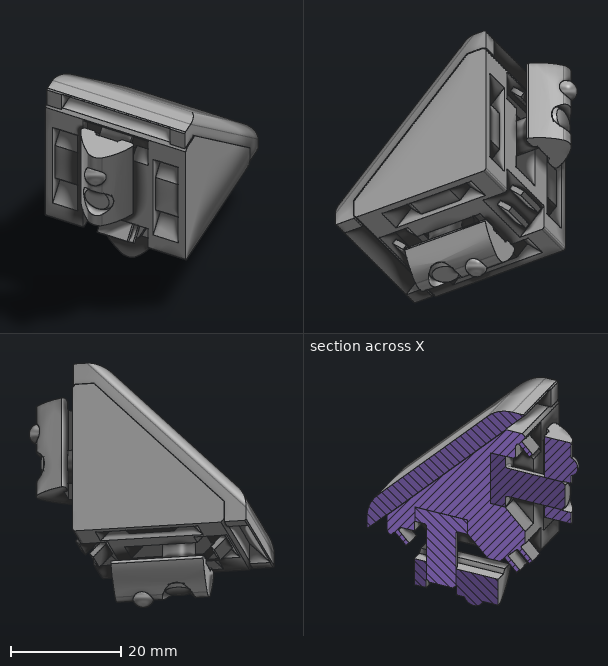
import cadquery as cq
import math


bracket_width = 28.0
leg = 28.0
leg_end = 3.95
back_sum = leg + leg_end
leg_end_chamfer = 0.6
corner_radius = 0.5

side_pocket_width = 5.0
side_pocket_center = 10.0
side_pocket_start = 3.95
side_pocket_length = 18.9
side_notch_depth = 3.2
side_land_depth = 1.02

channel_width = 13.0
recess_start = 21.0
recess_end = 27.05
recess_depth = 2.0
slot_width = 6.55
slot_start = 7.63
slot_end = 22.32
slot_depth = 4.0
corner_notch = 5.1

tab_width = 6.0
tab_thickness = 1.02
tab_rise = 3.3
tab_end_sum = 0.25
outer_tab_rise = 25.6
outer_tab_end_sum = 22.58
tab_root = 2.55

cover_width = 27.55
cover_thickness = 4.0
cover_setback = 0.13
cover_post = 2.95
cover_edge_chamfer = 0.25
cover_end_radius = 7.0
cover_back_sum = 37.5
cover_side_radius = 2.05

screw_diameter = 6.0
screw_height = 17.0
screw_reach = 8.0
screw_chamfer = 0.6
head_diameter = 10.5
head_thickness = 3.0
head_fillet = 0.4

nut_gap = 3.0
nut_length = 17.0
nut_below_screw = 5.45
nut_half_width = 5.2
nut_flat_half_width = 4.6
nut_shoulder = 3.7
nut_nose_start = 8.85
nut_nose = 9.3
nut_nose_half_width = 1.35
nut_flank_bulge = 0.4
nut_groove_depth = 0.75
nut_groove_half_width = 2.7
nut_groove_floor_half_width = 2.1
ball_radius = 2.0
ball_tip = 10.6
ball_offset = 6.55

swap_normal = cq.Vector(0, 1, -1)


def prism(points, width, x_center=0.0):
    """Extrude a (y, z) outline along X, centred on x_center."""
    outline = cq.Workplane("YZ").polyline(points).close()
    return outline.extrude(width / 2, both=True).translate((x_center, 0, 0))


def on_both_legs(feature):
    """The feature of the front leg and its mirror image on the bottom leg."""
    return [feature, feature.mirror(swap_normal)]


def diagonal_point(rise, total):
    """The (y, z) point with z - y = rise and z + y = total."""
    return ((total - rise) / 2, (total + rise) / 2)


def side_pocket(x_center):
    start = side_pocket_start
    end = start + side_pocket_length
    deep = side_notch_depth
    land = side_land_depth
    step = deep - land
    points = [
        (0, start),
        (deep, start + deep),
        (land, start + deep + step),
        (land, end - deep - step),
        (deep, end - deep),
        (0, end),
    ]
    return prism(points, side_pocket_width, x_center)


def outer_recess():
    points = [
        (0, recess_start),
        (recess_depth, recess_start + recess_depth),
        (recess_depth, recess_end - recess_depth),
        (0, recess_end),
    ]
    return prism(points, channel_width)


def screw_slot():
    """The slot for the shank: a floor at 45 degrees, and a flat top that steps up at the recess."""
    recess_floor_end = recess_start + recess_depth
    points = [
        (0, slot_start),
        (slot_depth, slot_start + slot_depth),
        (slot_depth, slot_end),
        (recess_depth, slot_end),
        (recess_depth, recess_floor_end),
        (0, recess_floor_end),
    ]
    return prism(points, slot_width)


def tab(rise, end_sum, root_sum):
    low_rise = rise - tab_thickness * math.sqrt(2)
    points = [
        diagonal_point(rise, end_sum),
        diagonal_point(rise, root_sum),
        diagonal_point(low_rise, root_sum),
        diagonal_point(low_rise, end_sum),
    ]
    return prism(points, tab_width)


def make_bracket():
    end_low = leg - leg_end_chamfer
    outline = [
        (0, 0),
        (0, end_low),
        (leg_end_chamfer, leg),
        (leg_end, leg),
        (leg, leg_end),
        (leg, leg_end_chamfer),
        (end_low, 0),
    ]
    body = prism(outline, bracket_width)
    body = body.edges(cq.selectors.NearestToPointSelector((0, 0, 0))).fillet(corner_radius)
    body = body.cut(prism([(0, 0), (0, corner_notch), (corner_notch, 0)], channel_width))

    cutters = [outer_recess(), screw_slot()]
    for x_center in (-side_pocket_center, side_pocket_center):
        cutters.append(side_pocket(x_center))
    for cutter in cutters:
        for copy in on_both_legs(cutter):
            body = body.cut(copy)

    corner_tab = tab(tab_rise, tab_end_sum, corner_notch + tab_root)
    outer_tab = tab(outer_tab_rise, outer_tab_end_sum, recess_end + tab_root)
    for one_tab in (corner_tab, outer_tab):
        for copy in on_both_legs(one_tab):
            body = body.union(copy)
    return body


def make_cover():
    near = cover_setback
    far = leg + cover_thickness
    bend = cover_back_sum - far
    chamfer = cover_edge_chamfer
    outline = [
        (near, leg),
        (near, far - chamfer),
        (near + chamfer, far),
        (bend, far),
        (far, bend),
        (far, near + chamfer),
        (far - chamfer, near),
        (leg, near),
        (leg, leg_end),
        (leg_end, leg),
    ]
    body = prism(outline, cover_width)
    for y, z in ((bend, far), (far, bend)):
        bend_edge = cq.selectors.NearestToPointSelector((0, y, z))
        body = body.edges(bend_edge).fillet(cover_end_radius)

    middle = cover_back_sum / 2
    slanted = cq.Plane(origin=(0, middle, middle), xDir=(1, 0, 0), normal=(0, 1, -1))
    rounded_bar = (
        cq.Workplane(slanted)
        .rect(cover_width, 2 * far)
        .extrude(2 * far, both=True)
        .translate((0, -far / math.sqrt(2), -far / math.sqrt(2)))
    )
    rounded_bar = rounded_bar.edges("|(0, 1, -1) and >(0, 1, 1)").fillet(cover_side_radius)
    body = body.intersect(rounded_bar)

    opening = prism([(0, leg), (0, back_sum), (leg_end, leg)], cover_width - 2 * cover_post)
    for copy in on_both_legs(opening):
        body = body.cut(copy)
    return body


def make_screw():
    """The screw of the front leg, with its head inside the wall behind the slot."""
    shank_radius = screw_diameter / 2
    end_radius = shank_radius - screw_chamfer
    head_radius = head_diameter / 2
    fillet_inset = head_fillet * (1 - math.sin(math.pi / 4))
    section = (
        cq.Workplane("XY")
        .moveTo(0, -screw_reach)
        .lineTo(end_radius, -screw_reach)
        .lineTo(shank_radius, -screw_reach + screw_chamfer)
        .lineTo(shank_radius, slot_depth - head_fillet)
        .threePointArc(
            (shank_radius + fillet_inset, slot_depth - fillet_inset),
            (shank_radius + head_fillet, slot_depth),
        )
        .lineTo(head_radius, slot_depth)
        .lineTo(head_radius, slot_depth + head_thickness)
        .lineTo(0, slot_depth + head_thickness)
        .close()
    )
    return section.revolve(360, (0, 0, 0), (0, 1, 0)).translate((0, 0, screw_height))


def make_nut():
    """The nut of the front leg: a rounded wedge along Z with a spring ball at its nose."""
    corner_mid = (
        nut_flat_half_width + (nut_half_width - nut_flat_half_width) * math.sin(math.pi / 4),
        nut_shoulder - (nut_shoulder - nut_gap) * math.sin(math.pi / 4),
    )
    flank_x = nut_half_width - nut_nose_half_width
    flank_y = nut_nose_start - nut_shoulder
    flank_length = math.hypot(flank_x, flank_y)
    flank_mid = (
        (nut_half_width + nut_nose_half_width) / 2 + nut_flank_bulge * flank_y / flank_length,
        (nut_shoulder + nut_nose_start) / 2 + nut_flank_bulge * flank_x / flank_length,
    )
    groove_floor = nut_gap + nut_groove_depth
    bottom = screw_height - nut_below_screw
    body = (
        cq.Workplane("XY", origin=(0, 0, bottom))
        .moveTo(-nut_groove_floor_half_width, -groove_floor)
        .lineTo(nut_groove_floor_half_width, -groove_floor)
        .lineTo(nut_groove_half_width, -nut_gap)
        .lineTo(nut_flat_half_width, -nut_gap)
        .threePointArc((corner_mid[0], -corner_mid[1]), (nut_half_width, -nut_shoulder))
        .threePointArc((flank_mid[0], -flank_mid[1]), (nut_nose_half_width, -nut_nose_start))
        .threePointArc((0, -nut_nose), (-nut_nose_half_width, -nut_nose_start))
        .threePointArc((-flank_mid[0], -flank_mid[1]), (-nut_half_width, -nut_shoulder))
        .threePointArc((-corner_mid[0], -corner_mid[1]), (-nut_flat_half_width, -nut_gap))
        .lineTo(-nut_groove_half_width, -nut_gap)
        .close()
        .extrude(nut_length)
    )
    hole = (
        cq.Workplane("XZ", origin=(0, 0, screw_height))
        .circle(screw_diameter / 2)
        .extrude(ball_tip)
    )
    ball = cq.Workplane("XY").sphere(ball_radius)
    ball = ball.translate((0, ball_radius - ball_tip, screw_height + ball_offset))
    return body.union(ball).cut(hole)


bracket = make_bracket()
cover = make_cover()
screws = []
nuts = []
turn_start = (0, screw_height, screw_height)
turn_end = (1, screw_height, screw_height)
for turn in (0, 90):
    screw = make_screw().rotate(turn_start, turn_end, turn)
    bracket = bracket.cut(screw)
    screws.append(screw.val())
    nuts.append(make_nut().rotate(turn_start, turn_end, turn).val())

result = cq.Compound.makeCompound([bracket.val(), cover.val(), *screws, *nuts])